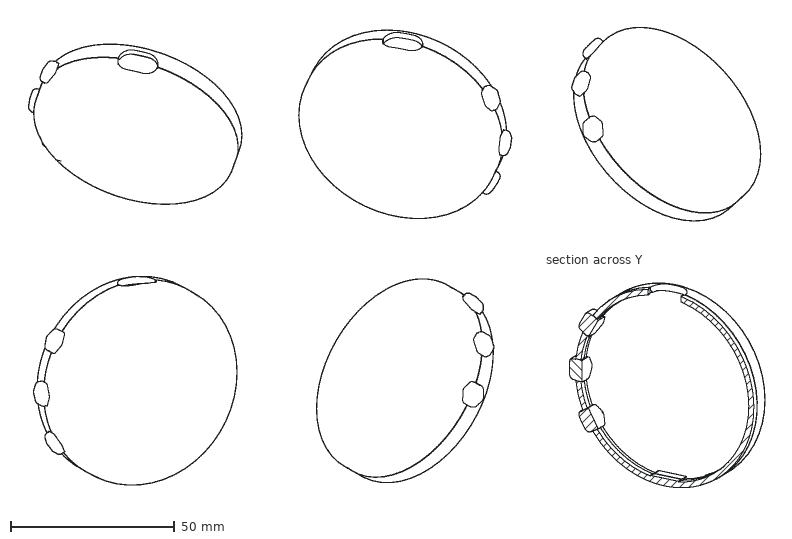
import cadquery as cq
import math

case_diameter = 64.0
case_depth = 13.8
rim_fillet = 3.05
split_gap = 0.2
wall = 2.0
cavity_fillet = 2.05

bevel = 1.05
bevel_angle = 45

slot_length = 12.5
slot_width = 7.8

pad_length = 10.0
pad_width = 5.8
pad_height = 0.65
pad_root = 1.0

button_tip_radius = 34.1
button_flats = 7.2
button_fillet = 1.45
button_inner_reach = 0.65
button_angles = (-30, 0, 30)

case_radius = case_diameter / 2
half_depth = case_depth / 2
half_gap = split_gap / 2
cavity_radius = case_radius - wall
cavity_half_depth = half_depth - wall
button_base_radius = cavity_radius - button_inner_reach
button_corners = 2 * button_flats / math.sqrt(3)


def disc(radius, y_start, y_end):
    """Cylinder on the Y axis between two Y positions."""
    return cq.Workplane("XZ", origin=(0, y_start, 0)).circle(radius).extrude(y_start - y_end)


def button_prism():
    """Hexagonal prism pointing to -X, with two flats level and two corners on +Y and -Y."""
    return (
        cq.Workplane("YZ", origin=(-button_tip_radius, 0, 0))
        .polygon(6, button_corners)
        .extrude(button_tip_radius - button_base_radius)
    )


def place_on_rim(body, angle):
    """Turn a body about the case axis."""
    return body.rotate((0, 0, 0), (0, 1, 0), angle)


def make_button(angle):
    """Button with rounded corners and a rounded outer edge."""
    button = button_prism().edges("|X").fillet(button_fillet)
    button = button.faces("<X").edges().fillet(button_fillet)
    return place_on_rim(button, angle)


def rim_slot():
    """Cutter for the round-ended slot through the top of the rim."""
    return cq.Workplane("XY").slot2D(slot_length, slot_width).extrude(case_radius)


def inner_pad():
    """Flat-topped pad that stands on the bottom of the cavity wall."""
    pad_top = pad_height - cavity_radius
    return (
        cq.Workplane("XY", origin=(0, 0, pad_top))
        .rect(pad_length, pad_width)
        .extrude(-pad_height - pad_root)
    )


def cavity_bevel():
    """Cone cutter for the bevel, widest at the front face of the back shell."""
    return (
        cq.Workplane("XZ", origin=(0, half_gap, 0))
        .circle(cavity_radius + bevel)
        .extrude(-bevel, taper=bevel_angle)
    )


def make_case():
    """Whole hollow case before it is split."""
    case = disc(case_radius, -half_depth, half_depth).edges().fillet(rim_fillet)
    cavity = disc(cavity_radius, -cavity_half_depth, cavity_half_depth)
    cavity = cavity.faces(">Y").edges().fillet(cavity_fillet)
    return case.cut(cavity).cut(cavity_bevel()).union(inner_pad()).cut(rim_slot())


def make_shell(y_start, y_end, buttons):
    """Part of the case between two Y positions, with pockets for the buttons."""
    shell = make_case().intersect(disc(case_diameter, y_start, y_end))
    for button in buttons:
        shell = shell.cut(button)
    return shell


buttons = [make_button(angle) for angle in button_angles]
front_shell = make_shell(-half_depth, -half_gap, buttons)
back_shell = make_shell(half_gap, half_depth, buttons)

result = cq.Compound.makeCompound(
    [front_shell.val(), back_shell.val()] + [button.val() for button in buttons]
)